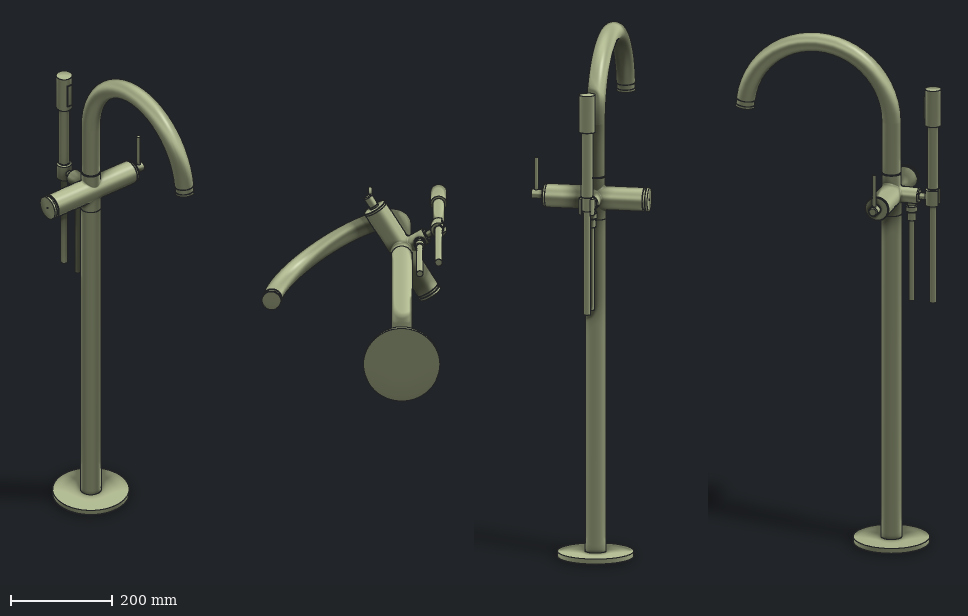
import cadquery as cq
import math

FLANGE_DIAMETER = 151.0
FLANGE_HEIGHT = 10.0
COLUMN_DIAMETER = 42.0
COLUMN_TOP_Z = 680.0

SPOUT_DIAMETER = 38.0
SPOUT_BEND_RADIUS = 150.0
SPOUT_END_ANGLE = 7.0
TOTAL_HEIGHT = 1040.0
BEND_CENTRE_Z = TOTAL_HEIGHT - SPOUT_DIAMETER / 2 - SPOUT_BEND_RADIUS
SWIVEL_JOINT_Z = 763.0
SWIVEL_GROOVE_WIDTH = 2.0
SWIVEL_GROOVE_DEPTH = 1.0

AERATOR_NECK_DIAMETER = 36.0
AERATOR_NECK_LENGTH = 10.0
AERATOR_RIM_LENGTH = 5.0

VALVE_Z = 722.0
VALVE_DIAMETER = 48.0
FRONT_GROOVE_DIAMETER = 42.0
BACK_GROOVE_DIAMETER = 46.0
VALVE_FRONT_Y = -108.0
VALVE_BACK_Y = 103.0
FRONT_CAP_THICKNESS = 5.0
FRONT_GROOVE_WIDTH = 5.0
BACK_CAP_THICKNESS = 1.0
BACK_GROOVE_WIDTH = 4.0
CENTRE_MARK_DIAMETER = 2.5
CENTRE_MARK_DEPTH = 1.0
JUNCTION_FILLET = 3.0

LEVER_HUB_DIAMETER = 19.0
LEVER_HUB_RISE = 2.0
LEVER_NECK_END_Y = 106.0
LEVER_HUB_END_Y = 129.0
LEVER_HUB_CHAMFER = 2.0
LEVER_ROD_DIAMETER = 8.0
LEVER_ROD_Y = 119.0
LEVER_TOP_Z = 798.0

OUTLET_DIAMETER = 32.0
OUTLET_END_X = -58.0
OUTLET_CHAMFER = 2.0
NOZZLE_X = -42.0
NOZZLE_DIAMETER = 18.0
NOZZLE_BOTTOM_Z = 702.0
STEM_DIAMETER = 14.0

HOLDER_X = -85.0
HOLDER_DIAMETER = 31.0
HOLDER_BOTTOM_Z = 706.0
HOLDER_TOP_Z = 738.0
HOLDER_SLOT_WIDTH = 18.0

HEAD_DIAMETER = 32.0
HEAD_BOTTOM_Z = 871.0
HEAD_TOP_Z = 946.0
WAND_DIAMETER = 23.0
WAND_BOTTOM_Z = 740.0
PLUG_DIAMETER = 19.0
PLUG_BOTTOM_Z = 712.0
HAND_HOSE_DIAMETER = 15.0
HOSE_END_Z = 504.0
SPRAY_PLATE_BOTTOM_Z = 883.0
SPRAY_PLATE_TOP_Z = 931.0
SPRAY_PLATE_WIDTH = 10.0
SPRAY_PLATE_PROJECTION = 2.0

NUT_DIAMETER = 23.0
NUT_CHAMFER = 2.0
NUT_BOTTOM_Z = 687.0
SLEEVE_DIAMETER = 18.0
SLEEVE_BOTTOM_Z = 671.0
SUPPLY_HOSE_DIAMETER = 12.0


def upright(diameter, bottom_z, top_z, x=0.0, y=0.0):
    """Vertical cylinder between two heights."""
    return (
        cq.Workplane("XY", origin=(x, y, bottom_z))
        .circle(diameter / 2)
        .extrude(top_z - bottom_z)
    )


def along_x(diameter, start_x, end_x):
    """Cylinder along X at the height of the valve axis."""
    return (
        cq.Workplane("YZ", origin=(start_x, 0, VALVE_Z))
        .circle(diameter / 2)
        .extrude(end_x - start_x)
    )


def along_y(diameter, start_y, end_y):
    """Cylinder along Y on the valve axis."""
    return (
        cq.Workplane("XZ", origin=(0, start_y, VALVE_Z))
        .circle(diameter / 2)
        .extrude(start_y - end_y)
    )


def make_column():
    flange = upright(FLANGE_DIAMETER, 0, FLANGE_HEIGHT)
    post = upright(COLUMN_DIAMETER, 0, COLUMN_TOP_Z)
    return flange.union(post)


def make_valve_body():
    """Barrel with the spout neck above, the shank below and the outlet beside it, blended together."""
    barrel_front_y = VALVE_FRONT_Y + FRONT_CAP_THICKNESS + FRONT_GROOVE_WIDTH
    barrel_back_y = VALVE_BACK_Y - BACK_CAP_THICKNESS - BACK_GROOVE_WIDTH
    barrel = along_y(VALVE_DIAMETER, barrel_front_y, barrel_back_y)
    neck = upright(SPOUT_DIAMETER, VALVE_Z, SWIVEL_JOINT_Z)
    shank = upright(COLUMN_DIAMETER, COLUMN_TOP_Z, VALVE_Z)
    outlet = along_x(OUTLET_DIAMETER, OUTLET_END_X, 0).faces("<X").chamfer(OUTLET_CHAMFER)
    blend_zone = cq.selectors.BoxSelector(
        (-VALVE_DIAMETER / 2, -COLUMN_DIAMETER / 2, VALVE_Z - VALVE_DIAMETER / 2),
        (VALVE_DIAMETER / 2, COLUMN_DIAMETER / 2, VALVE_Z + VALVE_DIAMETER / 2),
    )
    body = barrel.union(neck).union(shank).union(outlet)
    return body.edges("not %LINE").edges(blend_zone).fillet(JUNCTION_FILLET)


def make_valve_caps():
    """End discs of the barrel, each set off by a groove."""
    front_cap_y = VALVE_FRONT_Y + FRONT_CAP_THICKNESS
    back_cap_y = VALVE_BACK_Y - BACK_CAP_THICKNESS
    front_core = along_y(FRONT_GROOVE_DIAMETER, front_cap_y, front_cap_y + FRONT_GROOVE_WIDTH)
    front_cap = along_y(VALVE_DIAMETER, VALVE_FRONT_Y, front_cap_y)
    centre_mark = along_y(CENTRE_MARK_DIAMETER, VALVE_FRONT_Y, VALVE_FRONT_Y + CENTRE_MARK_DEPTH)
    back_core = along_y(BACK_GROOVE_DIAMETER, back_cap_y - BACK_GROOVE_WIDTH, back_cap_y)
    back_cap = along_y(VALVE_DIAMETER, back_cap_y, VALVE_BACK_Y)
    return front_cap.cut(centre_mark), front_core, back_core, back_cap


def make_spout():
    end_angle = math.radians(SPOUT_END_ANGLE)
    middle_angle = (math.pi + end_angle) / 2

    def bend_point(angle):
        x = SPOUT_BEND_RADIUS * (1 + math.cos(angle))
        z = BEND_CENTRE_Z + SPOUT_BEND_RADIUS * math.sin(angle)
        return x, z

    riser_bottom_z = SWIVEL_JOINT_Z + SWIVEL_GROOVE_WIDTH
    swivel = upright(SPOUT_DIAMETER - 2 * SWIVEL_GROOVE_DEPTH, SWIVEL_JOINT_Z, riser_bottom_z)
    riser = upright(SPOUT_DIAMETER, riser_bottom_z, BEND_CENTRE_Z)
    path = (
        cq.Workplane("XZ")
        .moveTo(0, BEND_CENTRE_Z)
        .threePointArc(bend_point(middle_angle), bend_point(end_angle))
    )
    bend = cq.Workplane("XY", origin=(0, 0, BEND_CENTRE_Z)).circle(SPOUT_DIAMETER / 2).sweep(path)

    end_x, end_z = bend_point(end_angle)
    mouth = cq.Plane(
        origin=(end_x, 0, end_z),
        xDir=(0, 1, 0),
        normal=(math.sin(end_angle), 0, -math.cos(end_angle)),
    )
    neck = cq.Workplane(mouth).circle(AERATOR_NECK_DIAMETER / 2).extrude(AERATOR_NECK_LENGTH)
    rim = (
        cq.Workplane(mouth)
        .workplane(offset=AERATOR_NECK_LENGTH)
        .circle(SPOUT_DIAMETER / 2)
        .extrude(AERATOR_RIM_LENGTH)
    )
    return swivel.union(riser).union(bend).union(neck).union(rim)


def make_lever():
    neck = along_y(LEVER_HUB_DIAMETER, VALVE_BACK_Y, LEVER_NECK_END_Y)
    hub = along_y(LEVER_HUB_DIAMETER, LEVER_NECK_END_Y, LEVER_HUB_END_Y)
    hub = hub.translate((0, 0, LEVER_HUB_RISE)).faces(">Y").chamfer(LEVER_HUB_CHAMFER)
    rod = upright(LEVER_ROD_DIAMETER, VALVE_Z, LEVER_TOP_Z, y=LEVER_ROD_Y)
    return neck.union(hub).union(rod)


def make_holder():
    stem = along_x(STEM_DIAMETER, HOLDER_X, OUTLET_END_X)
    clip = upright(HOLDER_DIAMETER, HOLDER_BOTTOM_Z, HOLDER_TOP_Z, x=HOLDER_X)
    bore = upright(PLUG_DIAMETER, HOLDER_BOTTOM_Z, HOLDER_TOP_Z, x=HOLDER_X)
    slot = cq.Workplane("XY", origin=(HOLDER_X - HOLDER_DIAMETER / 2, 0, HOLDER_BOTTOM_Z)).box(
        HOLDER_DIAMETER / 2,
        HOLDER_SLOT_WIDTH,
        HOLDER_TOP_Z - HOLDER_BOTTOM_Z,
        centered=(False, True, False),
    )
    return stem.union(clip).cut(bore).cut(slot)


def make_supply_hose():
    """Nozzle under the outlet with its nut, sleeve and hose."""
    nozzle = upright(NOZZLE_DIAMETER, NOZZLE_BOTTOM_Z, VALVE_Z, x=NOZZLE_X)
    nut = upright(NUT_DIAMETER, NUT_BOTTOM_Z, NOZZLE_BOTTOM_Z, x=NOZZLE_X)
    nut = nut.faces("<Z or >Z").chamfer(NUT_CHAMFER)
    sleeve = upright(SLEEVE_DIAMETER, SLEEVE_BOTTOM_Z, NUT_BOTTOM_Z, x=NOZZLE_X)
    hose = upright(SUPPLY_HOSE_DIAMETER, HOSE_END_Z, SLEEVE_BOTTOM_Z, x=NOZZLE_X)
    return nozzle.union(nut).union(sleeve).union(hose)


def make_faucet():
    faucet = make_valve_body()
    for portion in (*make_valve_caps(), make_spout(), make_lever(), make_holder(), make_supply_hose()):
        faucet = faucet.union(portion)
    return faucet


def make_hand_shower():
    head = upright(HEAD_DIAMETER, HEAD_BOTTOM_Z, HEAD_TOP_Z, x=HOLDER_X)
    wand = upright(WAND_DIAMETER, WAND_BOTTOM_Z, HEAD_BOTTOM_Z, x=HOLDER_X)
    plug = upright(PLUG_DIAMETER, PLUG_BOTTOM_Z, WAND_BOTTOM_Z, x=HOLDER_X)
    hose = upright(HAND_HOSE_DIAMETER, HOSE_END_Z, PLUG_BOTTOM_Z, x=HOLDER_X)
    spray_plate = cq.Workplane("XY", origin=(HOLDER_X, 0, SPRAY_PLATE_BOTTOM_Z)).box(
        HEAD_DIAMETER / 2 + SPRAY_PLATE_PROJECTION,
        SPRAY_PLATE_WIDTH,
        SPRAY_PLATE_TOP_Z - SPRAY_PLATE_BOTTOM_Z,
        centered=(False, True, False),
    )
    return head.union(wand).union(plug).union(hose).union(spray_plate)


column = make_column()
faucet = make_faucet()
hand_shower = make_hand_shower()

result = cq.Compound.makeCompound([body.solids().val() for body in (column, faucet, hand_shower)])